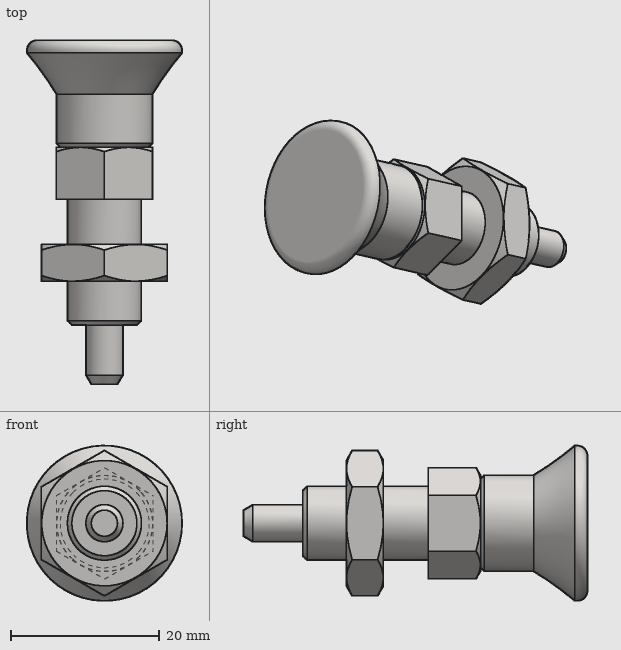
import cadquery as cq
import math

LENGTH = 46.5
TIP_Y = -LENGTH / 2
KNOB_FACE_Y = LENGTH / 2

PIN_DIAMETER = 5.0
PIN_CHAMFER_LENGTH = 1.25
PIN_CHAMFER_DEPTH = 0.75

BODY_DIAMETER = 10.0
BODY_CHAMFER = 0.6
BODY_END_Y = TIP_Y + 8.0

NUT_ACROSS_FLATS = 17.0
NUT_FACE_DIAMETER = 16.93
NUT_HEIGHT = 5.0
NUT_START_Y = TIP_Y + 13.9

HEX_ACROSS_FLATS = 13
HEX_FACE_DIAMETER = 12.95
HEX_HEIGHT = 7.05
HEX_START_Y = TIP_Y + 24.95
HEX_END_Y = HEX_START_Y + HEX_HEIGHT

GRIP_DIAMETER = 13
GRIP_CHAMFER = 0.5
GRIP_END_Y = KNOB_FACE_Y - 7.3
RIM_DIAMETER = 21.0
RIM_ROUND_RADIUS = 1.45
RIM_BAND = 0.3
FLARE_SAG = 0.15

HEX_CHAMFER_ANGLE = math.radians(30)


def extrude_along_y(sketch_shape, start_y, length):
    """Extrude a shape drawn around the Y axis towards +Y."""
    plane = cq.Plane(origin=(0, start_y, 0), xDir=(0, 0, 1), normal=(0, 1, 0))
    return sketch_shape(cq.Workplane(plane)).extrude(length)


def revolve_about_y(profile):
    return profile.close().revolve(360, (0, 0, 0), (0, 1, 0))


def hexagon(across_flats, face_diameter, start_y, height, chamfer_start):
    """Hexagon with corners up and down, its corners cut by 30 degree cones."""
    corner_radius = across_flats / math.sqrt(3)
    face_radius = face_diameter / 2
    chamfer_length = (corner_radius - face_radius) * math.tan(HEX_CHAMFER_ANGLE)
    end_y = start_y + height

    prism = extrude_along_y(lambda wp: wp.polygon(6, 2 * corner_radius), start_y, height)
    envelope = cq.Workplane("XY").moveTo(0, start_y)
    if chamfer_start:
        envelope = envelope.lineTo(face_radius, start_y).lineTo(corner_radius, start_y + chamfer_length)
    else:
        envelope = envelope.lineTo(corner_radius, start_y)
    envelope = (
        envelope.lineTo(corner_radius, end_y - chamfer_length)
        .lineTo(face_radius, end_y)
        .lineTo(0, end_y)
    )
    return prism.intersect(revolve_about_y(envelope))


def pin_and_body():
    pin_radius = PIN_DIAMETER / 2
    body_radius = BODY_DIAMETER / 2
    profile = (
        cq.Workplane("XY")
        .moveTo(0, TIP_Y)
        .lineTo(pin_radius - PIN_CHAMFER_DEPTH, TIP_Y)
        .lineTo(pin_radius, TIP_Y + PIN_CHAMFER_LENGTH)
        .lineTo(pin_radius, BODY_END_Y)
        .lineTo(body_radius - BODY_CHAMFER, BODY_END_Y)
        .lineTo(body_radius, BODY_END_Y + BODY_CHAMFER)
        .lineTo(body_radius, HEX_END_Y)
        .lineTo(0, HEX_END_Y)
    )
    return revolve_about_y(profile)


def knob():
    grip_radius = GRIP_DIAMETER / 2
    rim_radius = RIM_DIAMETER / 2
    round_start_y = KNOB_FACE_Y - RIM_ROUND_RADIUS
    flare_end_y = round_start_y - RIM_BAND

    flare_width = rim_radius - grip_radius
    flare_height = flare_end_y - GRIP_END_Y
    flare_slant = math.hypot(flare_width, flare_height)
    flare_middle = (
        grip_radius + flare_width / 2 - FLARE_SAG * flare_height / flare_slant,
        GRIP_END_Y + flare_height / 2 + FLARE_SAG * flare_width / flare_slant,
    )
    profile = (
        cq.Workplane("XY")
        .moveTo(0, HEX_END_Y)
        .lineTo(grip_radius - GRIP_CHAMFER, HEX_END_Y)
        .lineTo(grip_radius, HEX_END_Y + GRIP_CHAMFER)
        .lineTo(grip_radius, GRIP_END_Y)
        .threePointArc(flare_middle, (rim_radius, flare_end_y))
        .lineTo(rim_radius, round_start_y)
        .tangentArcPoint((rim_radius - RIM_ROUND_RADIUS, KNOB_FACE_Y), relative=False)
        .lineTo(0, KNOB_FACE_Y)
    )
    return revolve_about_y(profile)


lock_nut = hexagon(NUT_ACROSS_FLATS, NUT_FACE_DIAMETER, NUT_START_Y, NUT_HEIGHT, chamfer_start=True)
body_hexagon = hexagon(HEX_ACROSS_FLATS, HEX_FACE_DIAMETER, HEX_START_Y, HEX_HEIGHT, chamfer_start=False)

result = pin_and_body().union(lock_nut).union(body_hexagon).union(knob())